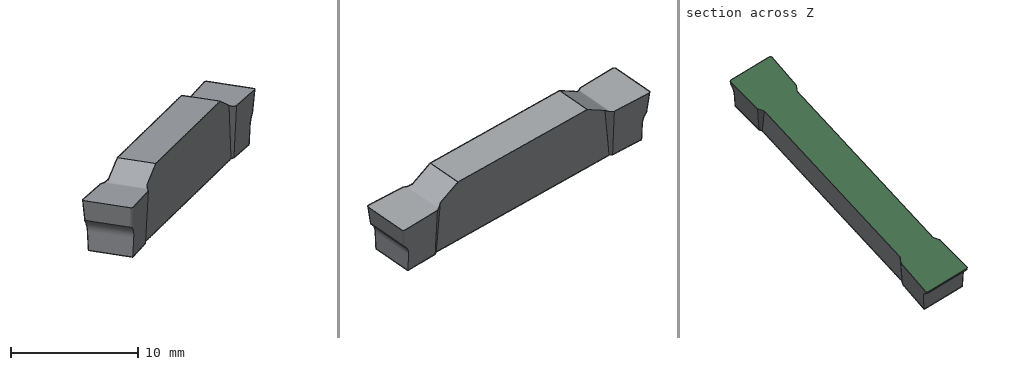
import cadquery as cq
import math

length = 26.2
height = 5.8
half_length = length / 2

head_height = 4.5
crown_half_length = 6.85
ramp_angle = math.radians(30)
ramp_foot_radius = 0.31
tip_bottom_height = 2.75
tip_setback = 0.2
end_face_setback = 0.73
end_relief_height = 1.68
tip_corner_radius = 0.18

head_width = 4.27
head_half_width = head_width / 2
shank_half_width = 1.62
head_back_taper = math.tan(math.radians(2))
head_side_relief = math.tan(math.radians(3))
flare_slope = 0.6
flare_start = 8.72
flare_foot_shift = 0.42
flare_lean = flare_foot_shift / head_height

ramp_foot = crown_half_length + (height - head_height) / math.tan(ramp_angle)
foot_tangent_length = ramp_foot_radius * math.tan(ramp_angle / 2)
relief_depth = end_face_setback - tip_setback
relief_rise = tip_bottom_height - end_relief_height
relief_radius = (relief_depth**2 + relief_rise**2) / (2 * relief_depth)


def half_profile():
    """Return the side profile, extruded across the width, for the +Y half."""
    end_face = half_length - end_face_setback
    half_turn = math.asin(relief_rise / relief_radius) / 2
    relief_middle = (
        end_face + relief_radius * (1 - math.cos(half_turn)),
        end_relief_height + relief_radius * math.sin(half_turn),
    )
    foot_end = (
        ramp_foot - foot_tangent_length * math.cos(ramp_angle),
        head_height + foot_tangent_length * math.sin(ramp_angle),
    )
    foot_bisector = ramp_angle / 2
    foot_middle = (
        ramp_foot + foot_tangent_length - ramp_foot_radius * math.sin(foot_bisector),
        head_height + ramp_foot_radius * (1 - math.cos(foot_bisector)),
    )
    return (
        cq.Workplane("YZ")
        .lineTo(end_face, 0)
        .lineTo(end_face, end_relief_height)
        .threePointArc(relief_middle, (half_length - tip_setback, tip_bottom_height))
        .lineTo(half_length, head_height)
        .lineTo(ramp_foot + foot_tangent_length, head_height)
        .threePointArc(foot_middle, foot_end)
        .lineTo(crown_half_length, height)
        .lineTo(0, height)
        .close()
        .extrude(head_width, both=True)
    )


def plan_points(z):
    """Return the plan outline of the +Y half at height z."""
    flare_y = flare_start + flare_lean * (head_height - z)
    tip_half_width = head_half_width - head_side_relief * (head_height - z)
    head_y = (
        tip_half_width - shank_half_width - head_back_taper * half_length + flare_slope * flare_y
    ) / (flare_slope - head_back_taper)
    head_back_half_width = shank_half_width + flare_slope * (head_y - flare_y)
    side = [
        (shank_half_width, 0),
        (shank_half_width, flare_y),
        (head_back_half_width, head_y),
        (tip_half_width, half_length),
    ]
    return side + [(-x, y) for x, y in reversed(side)]


def half_plan():
    """Return the solid swept by the plan outline from the base to the crown."""
    return (
        cq.Workplane("XY")
        .polyline(plan_points(0))
        .close()
        .workplane(offset=height)
        .polyline(plan_points(height))
        .close()
        .loft(ruled=True)
    )


def round_tip_corners(half):
    """Round the two upright corners at the cutting tip."""
    middle_height = (tip_bottom_height + head_height) / 2
    half_band = (head_height - tip_bottom_height) / 4
    tip_box = cq.selectors.BoxSelector(
        (-length, half_length - tip_setback, middle_height - half_band),
        (length, half_length, middle_height + half_band),
    )
    return half.edges(tip_box).fillet(tip_corner_radius)


half_insert = round_tip_corners(half_profile().intersect(half_plan()))
result = half_insert.union(half_insert.mirror("XZ")).clean()